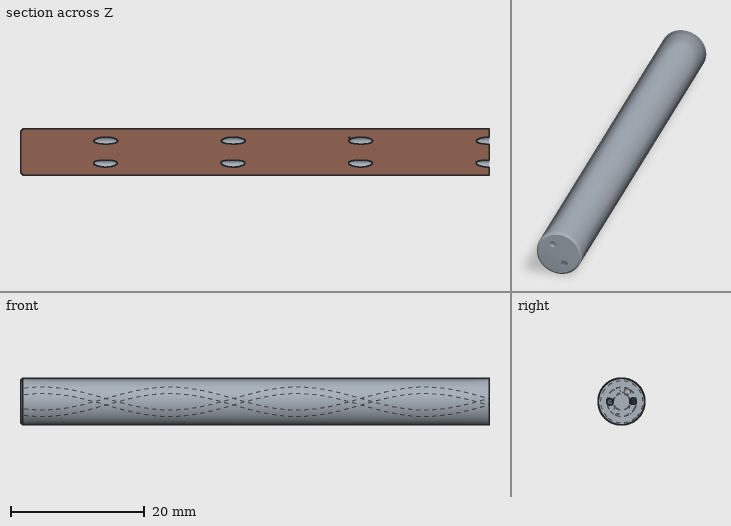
import cadquery as cq
import math

length = 70.0
diameter = 7.0
end_chamfer = 0.35

hole_diameter = 1.0
hole_circle_diameter = 3.4
hole_start_angle = 60.0
helix_angle = 30.0

helix_pitch = math.pi * diameter / math.tan(math.radians(helix_angle))
twist = 360.0 * length / helix_pitch


def rod():
    """Cylinder along X, centred on the origin, chamfered at the -X end."""
    body = cq.Workplane("YZ", origin=(-length / 2, 0, 0)).circle(diameter / 2).extrude(length)
    return body.faces("<X").chamfer(end_chamfer)


def coolant_hole(start_angle):
    """Helical cutter running the full length of the rod."""
    radius = hole_circle_diameter / 2
    angle = math.radians(start_angle)
    return (
        cq.Workplane("YZ", origin=(-length / 2, 0, 0))
        .moveTo(radius * math.cos(angle), radius * math.sin(angle))
        .circle(hole_diameter / 2)
        .twistExtrude(length, twist)
    )


result = rod()
for opposite in (0.0, 180.0):
    result = result.cut(coolant_hole(hole_start_angle + opposite))